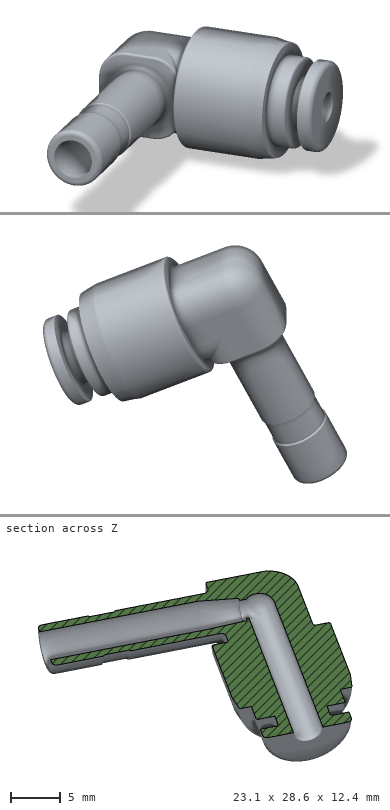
import cadquery as cq


elbow_half = 4.45
corner_radius = 3.03
front_edge_radius = 0.25
web_half_height = 2.85
collar_flare = 0.15
flare_angle = 45

collar_start = 4.32
collar_taper_start = 12.1
collar_end = 13.87
sleeve_end = 15.82
flange_start = 17.15
flange_end = 18.6
collar_radius = 6.2
collar_end_radius = 5.9
collar_edge = 0.23
sleeve_radius = 4.65
sleeve_edge = 0.23
neck_radius = 2.75
neck_fillet = 0.2
flange_edge = 0.51

stem_radius = 3.0
stem_end = 28.6 - collar_radius
stem_root_fillet = 0.5
stem_tip_fillet = 0.5
groove_radius = 2.85
groove_start = 14.35
groove_end = 16.95
groove_slope = 0.11

bore_radius = 2.03
bore_depth = 16.6
throat_depth = 20.6
throat_offset = 0.25
throat_radius_x = 1.6
throat_radius_z = 1.8
opening_radius_x = 1.3
opening_radius_z = 1.52


def rounded_leg(plane):
    """Square prism through the origin with rounded long edges, normal to a plane."""
    side = 2 * elbow_half
    leg = cq.Workplane(plane).rect(side, side).extrude(elbow_half, both=True)
    direction = "|X" if plane == "YZ" else "|Y"
    return leg.edges(direction).fillet(corner_radius)


def make_socket_leg():
    """Half leg running from the stem axis to the collar, flared against the collar except in front."""
    keep = cq.Workplane("XY").box(elbow_half, 2 * elbow_half, 2 * elbow_half)
    half_leg = rounded_leg("YZ").intersect(keep.translate((elbow_half / 2, 0, 0)))
    flare_side = 2 * (elbow_half + collar_flare)
    flare_outline = cq.Sketch().rect(flare_side, flare_side).vertices().fillet(corner_radius + collar_flare)
    flare_base = cq.Workplane("YZ", origin=(collar_start, 0, 0)).placeSketch(flare_outline)
    flare = flare_base.extrude(-collar_flare, taper=flare_angle)
    beyond_front = cq.Workplane("XY").box(2 * flare_side, 2 * elbow_half, 2 * flare_side)
    flare = flare.cut(beyond_front.translate((0, -2 * elbow_half, 0)))
    return half_leg.union(flare)


def make_stem_leg():
    """Leg along the stem, with a flat-sided web to the collar and a rounded front rim."""
    web_end = collar_start + front_edge_radius
    web = cq.Workplane("XY").box(web_end, 2 * elbow_half, 2 * web_half_height)
    leg = rounded_leg("XZ").union(web.translate((web_end / 2, 0, 0)))
    return leg.faces("<Y").edges().fillet(front_edge_radius)


def make_elbow():
    """Two crossing legs, with the outer corner rounded in all directions."""
    side = 2 * elbow_half
    stem_leg = make_stem_leg()
    outer_form = cq.Workplane("XY").box(side, side, side)
    outer_form = outer_form.edges("(<X and (|Y or >Y)) or (>Y and |X)").fillet(corner_radius)
    return stem_leg.intersect(outer_form).union(make_socket_leg())


def make_socket():
    """Collar, sleeve, neck and flange turned about the X axis."""
    profile = (
        cq.Workplane("XY")
        .moveTo(collar_start, 0)
        .lineTo(collar_start, collar_radius - collar_edge)
        .radiusArc((collar_start + collar_edge, collar_radius), collar_edge)
        .lineTo(collar_taper_start, collar_radius)
        .lineTo(collar_end, collar_end_radius)
        .lineTo(collar_end, sleeve_radius)
        .lineTo(sleeve_end - sleeve_edge, sleeve_radius)
        .radiusArc((sleeve_end, sleeve_radius - sleeve_edge), sleeve_edge)
        .lineTo(sleeve_end, neck_radius)
        .lineTo(flange_start - neck_fillet, neck_radius)
        .radiusArc((flange_start, neck_radius + neck_fillet), -neck_fillet)
        .lineTo(flange_start, sleeve_radius)
        .lineTo(flange_end - flange_edge, sleeve_radius)
        .radiusArc((flange_end, sleeve_radius - flange_edge), flange_edge)
        .lineTo(flange_end, 0)
        .close()
    )
    return profile.revolve(360, (0, 0, 0), (1, 0, 0))


def make_stem():
    """Grooved stem turned about the Y axis, flared where it leaves the elbow."""
    profile = (
        cq.Workplane("XY")
        .moveTo(0, -elbow_half)
        .lineTo(stem_radius + stem_root_fillet, -elbow_half)
        .radiusArc((stem_radius, -elbow_half - stem_root_fillet), -stem_root_fillet)
        .lineTo(stem_radius, -groove_start + groove_slope)
        .lineTo(groove_radius, -groove_start)
        .lineTo(groove_radius, -groove_end)
        .lineTo(stem_radius, -groove_end - groove_slope)
        .lineTo(stem_radius, -stem_end + stem_tip_fillet)
        .radiusArc((stem_radius - stem_tip_fillet, -stem_end), stem_tip_fillet)
        .lineTo(0, -stem_end)
        .close()
    )
    return profile.revolve(360, (0, 0, 0), (0, 1, 0))


def make_passage():
    """Stem bore, tapered throat and oval opening into a round-ended socket passage."""
    bore = cq.Workplane("XZ", origin=(0, -stem_end, 0)).circle(bore_radius).extrude(-bore_depth)
    throat = (
        cq.Workplane("XZ", origin=(0, bore_depth - stem_end, 0))
        .circle(bore_radius)
        .workplane(offset=bore_depth - throat_depth)
        .center(throat_offset, 0)
        .ellipse(throat_radius_x, throat_radius_z)
        .loft()
    )
    opening = (
        cq.Workplane("XZ")
        .center(throat_offset, 0)
        .ellipse(opening_radius_x, opening_radius_z)
        .extrude(stem_end - throat_depth)
    )
    outlet = cq.Workplane("YZ").circle(opening_radius_z).extrude(flange_end)
    round_end = cq.Workplane("XY").sphere(opening_radius_z)
    return bore.union(throat).union(opening).union(outlet).union(round_end)


result = make_elbow().union(make_socket()).union(make_stem()).cut(make_passage())